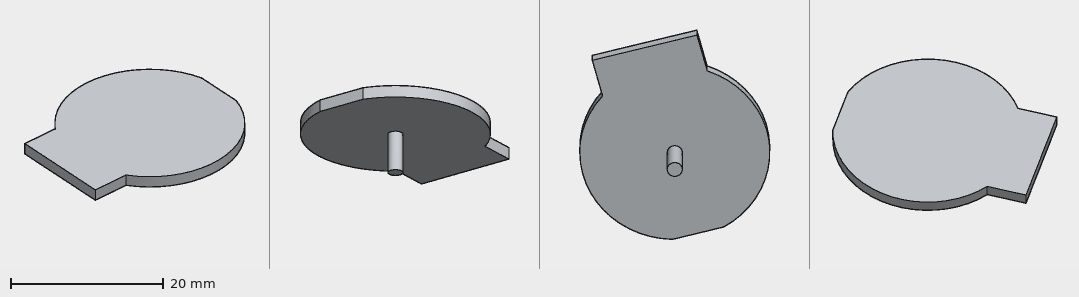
import cadquery as cq

overall_length = 27.6
disc_diameter = 25.0
flat_distance = 12.0
tab_width = 14.25
plate_thickness = 1.65
pin_diameter = 2.0
pin_length = 5.5

tab_reach = overall_length - flat_distance


def make_plate():
    """Disc with a rectangular tab toward -Y and a flat cut on the +Y side."""
    disc = cq.Workplane("XY").circle(disc_diameter / 2).extrude(plate_thickness)
    tab = (
        cq.Workplane("XY")
        .center(0, -tab_reach / 2)
        .rect(tab_width, tab_reach)
        .extrude(plate_thickness)
    )
    beyond_flat = (
        cq.Workplane("XY")
        .center(0, flat_distance + disc_diameter / 2)
        .rect(disc_diameter, disc_diameter)
        .extrude(plate_thickness)
    )
    return disc.union(tab).cut(beyond_flat)


def make_pin():
    """Round pin hanging below the disc centre."""
    return cq.Workplane("XY").circle(pin_diameter / 2).extrude(-pin_length)


result = make_plate().union(make_pin())